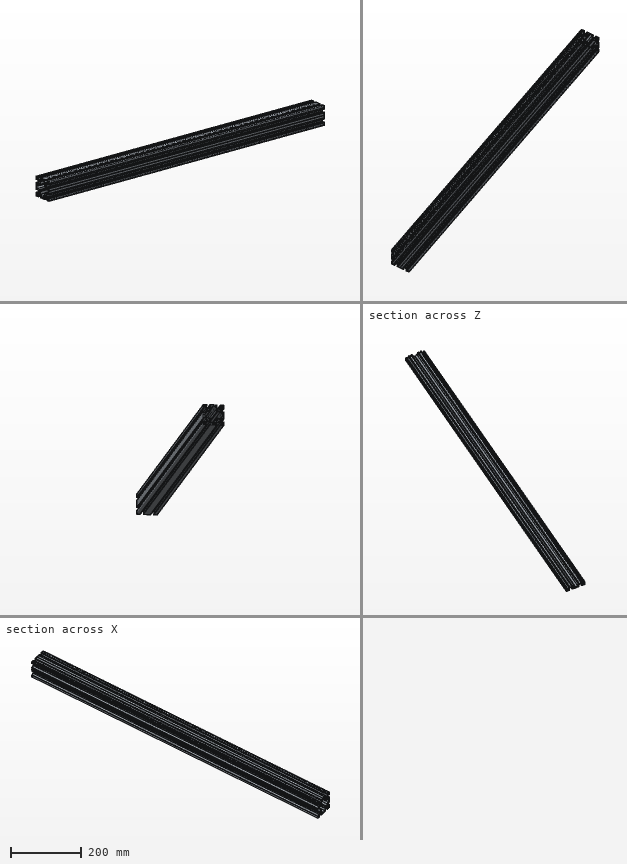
import cadquery as cq

length = 1000.0
width = 60.0
corner_radius = 2.0

mouth_width = 9.0
lip_thickness = 2.8
slot_width = 16.0
slot_depth = 9.0
slot_floor_width = 7.6

outer_wall = 2.8
web_inset = 1.4
core_face = 9.0
core_chamfer = 2.0
core_bore_diameter = 7.0

corner_bore_diameter = 3.6
corner_bore_inset = 4.3

half_width = width / 2
slot_place = width / 4


def extruded(sketch):
    """Extrude an XZ sketch over the full length, centred on Y."""
    return sketch.extrude(length / 2, both=True)


def blank():
    """Square bar with rounded long edges."""
    return extruded(cq.Workplane("XZ").rect(width, width)).edges("|Y").fillet(corner_radius)


def slot(x):
    """T-slot in the +Z side; its side walls turn in at 45 degrees to meet the floor."""
    lip_z = half_width - lip_thickness
    floor_z = half_width - slot_depth
    shoulder_z = floor_z + (slot_width - slot_floor_width) / 2
    right = [
        (mouth_width / 2, half_width),
        (mouth_width / 2, lip_z),
        (slot_width / 2, lip_z),
        (slot_width / 2, shoulder_z),
        (slot_floor_width / 2, floor_z),
    ]
    left = [(-dx, z) for dx, z in reversed(right)]
    points = [(x + dx, z) for dx, z in right + left]
    return extruded(cq.Workplane("XZ").polyline(points).close())


def central_hollow():
    """Cross-shaped hollow bounded by the outer walls, the webs and the cores."""
    wall_z = half_width - outer_wall
    web_sum = 2 * slot_place - web_inset * 2 ** 0.5
    upper = [
        (web_sum - wall_z, wall_z),
        (core_face, web_sum - core_face),
        (core_face, core_face + core_chamfer),
    ]
    quarter = upper + [(z, x) for x, z in reversed(upper)]
    points = []
    for _ in range(4):
        points += quarter
        quarter = [(z, -x) for x, z in quarter]
    return extruded(cq.Workplane("XZ").polyline(points).close())


def four_bores(place, diameter):
    """Full-length bores at (+-place, +-place)."""
    centres = [(x, z) for x in (-place, place) for z in (-place, place)]
    return extruded(cq.Workplane("XZ").pushPoints(centres).circle(diameter / 2))


profile = blank().cut(central_hollow())
for side in range(4):
    for x in (-slot_place, slot_place):
        profile = profile.cut(slot(x).rotate((0, 0, 0), (0, 1, 0), 90 * side))
profile = profile.cut(four_bores(slot_place, core_bore_diameter))
result = profile.cut(four_bores(half_width - corner_bore_inset, corner_bore_diameter))